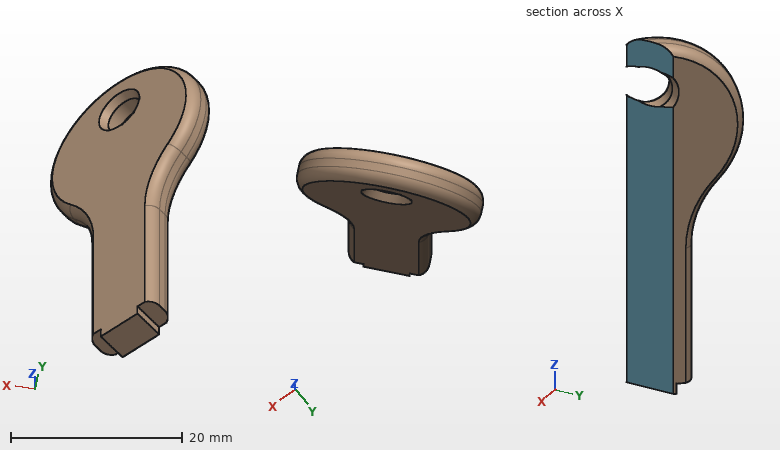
import cadquery as cq
import math

TURN_ANGLE = -50.0

TOTAL_HEIGHT = 45.8
THICKNESS = 4.05
HEAD_RADIUS = 11.0
STEM_HALF_WIDTH = 4.8
STEM_TOP = 19.15

RIM_BAND = 1.0
RIM_INSET = 0.95

TIP_WIDTH = 5.5
TIP_HEIGHT = 1.35

HOLE_CENTRE_HEIGHT = 39.8
HOLE_RADIUS = 2.45
COUNTERSINK_RADIUS = 3.0
COUNTERSINK_DEPTH = 1.05

HALF_THICKNESS = THICKNESS / 2
HEAD_CENTRE_HEIGHT = TOTAL_HEIGHT - HEAD_RADIUS

NECK_RISE = HEAD_CENTRE_HEIGHT - STEM_TOP
NECK_RADIUS = (STEM_HALF_WIDTH**2 + NECK_RISE**2 - HEAD_RADIUS**2) / (
    2 * (HEAD_RADIUS - STEM_HALF_WIDTH)
)
NECK_CENTRE_X = STEM_HALF_WIDTH + NECK_RADIUS


def half_section(plane, core, rim):
    """Cross-section from a flat edge at x = core to the rounded rim at x = rim."""
    outward = math.copysign(1, rim - core)
    half_band = RIM_BAND / 2
    rim_depth = HALF_THICKNESS - half_band
    arc_radius = (RIM_INSET**2 + rim_depth**2) / (2 * RIM_INSET)
    half_sweep = math.asin(rim_depth / arc_radius) / 2
    face_end = rim - outward * RIM_INSET
    mid_x = rim - outward * arc_radius * (1 - math.cos(half_sweep))
    mid_y = half_band + arc_radius * math.sin(half_sweep)
    return (
        cq.Workplane(plane)
        .moveTo(core, -HALF_THICKNESS)
        .lineTo(face_end, -HALF_THICKNESS)
        .threePointArc((mid_x, -mid_y), (rim, -half_band))
        .lineTo(rim, half_band)
        .threePointArc((mid_x, mid_y), (face_end, HALF_THICKNESS))
        .lineTo(core, HALF_THICKNESS)
        .close()
    )


def make_head():
    plane = cq.Plane.XY(origin=(0, 0, HEAD_CENTRE_HEIGHT))
    return half_section(plane, 0, HEAD_RADIUS).revolve(360, (0, 0), (0, 1))


def make_stem_half():
    plane = cq.Plane.XY(origin=(0, 0, TIP_HEIGHT))
    return half_section(plane, 0, STEM_HALF_WIDTH).extrude(STEM_TOP - TIP_HEIGHT)


def make_neck_half():
    """Ring about the neck arc centre, trimmed to the triangle between stem and head."""
    plane = cq.Plane.XY(origin=(NECK_CENTRE_X, 0, STEM_TOP))
    ring_outer_radius = NECK_CENTRE_X + NECK_RISE
    ring = half_section(plane, -ring_outer_radius, -NECK_RADIUS).revolve(360, (0, 0), (0, 1))
    wedge = (
        cq.Workplane("XZ")
        .polyline([(0, STEM_TOP), (NECK_CENTRE_X, STEM_TOP), (0, HEAD_CENTRE_HEIGHT)])
        .close()
        .extrude(HALF_THICKNESS, both=True)
    )
    return ring.intersect(wedge)


def make_tip():
    return cq.Workplane("XY").rect(TIP_WIDTH, THICKNESS).extrude(TIP_HEIGHT)


def make_hole():
    """Through hole with a conical countersink on both faces, as one revolved cutter."""
    plane = cq.Plane.XY(origin=(0, 0, HOLE_CENTRE_HEIGHT))
    bore_end = HALF_THICKNESS - COUNTERSINK_DEPTH
    return (
        cq.Workplane(plane)
        .polyline(
            [
                (0, -HALF_THICKNESS),
                (COUNTERSINK_RADIUS, -HALF_THICKNESS),
                (HOLE_RADIUS, -bore_end),
                (HOLE_RADIUS, bore_end),
                (COUNTERSINK_RADIUS, HALF_THICKNESS),
                (0, HALF_THICKNESS),
            ]
        )
        .close()
        .revolve(360, (0, 0), (0, 1))
    )


right_half = make_stem_half().union(make_neck_half())
left_half = right_half.mirror("YZ")
key = make_head().union(right_half).union(left_half).union(make_tip()).clean()
key = key.cut(make_hole())

result = key.rotate((0, 0, 0), (0, 0, 1), TURN_ANGLE)